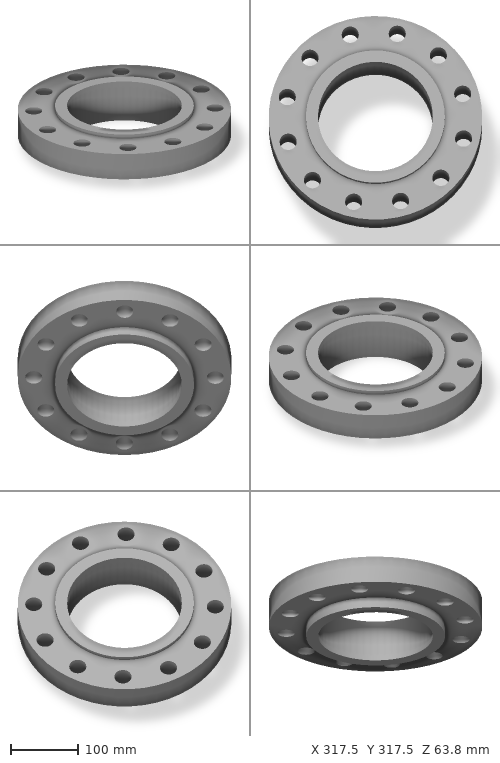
import cadquery as cq

flange_diameter = 317.5
flange_thickness = 41.3
hub_diameter = 206.5
raised_face_height = 6.5
rear_hub_height = 16.0
bore_diameter = 170.5
bolt_circle_diameter = 270.0
bolt_hole_diameter = 25.5
bolt_hole_count = 12

total_height = rear_hub_height + flange_thickness + raised_face_height
half_pitch_angle = 360.0 / bolt_hole_count / 2


def disc(diameter, height, base_level=0.0):
    """Solid disc about the Z axis, rising from base_level."""
    return cq.Workplane("XY").workplane(offset=base_level).circle(diameter / 2).extrude(height)


def bolt_holes():
    """Cylinders for the bolt holes, straddling the X and Y axes."""
    return (
        cq.Workplane("XY")
        .polarArray(bolt_circle_diameter / 2, half_pitch_angle, 360, bolt_hole_count)
        .circle(bolt_hole_diameter / 2)
        .extrude(total_height)
    )


hub = disc(hub_diameter, total_height)
flange = disc(flange_diameter, flange_thickness, rear_hub_height)
bore = disc(bore_diameter, total_height)

result = hub.union(flange).cut(bore).cut(bolt_holes())